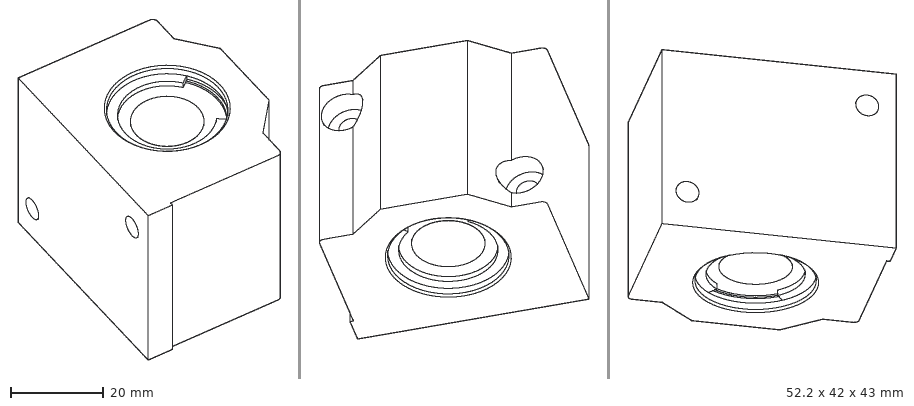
import cadquery as cq
import math

length = 43.0
axis_height = 22.0
total_height = 42.02
shoulder_height = 35.25
body_half_width = 25.7
locating_edge_width = 52.19
locating_edge_height = 6.3
crown_half_width = 9.8
crown_foot_half_width = 17.85
shoulder_fillet = 1.2

screw_spacing_x = 40.0
screw_spacing_z = 26.0
screw_hole_diameter = 5.1
screw_head_diameter = 10.0
screw_head_depth = 5.5

bearing_bore = 16.0
bearing_outside = 26.0
bearing_length = 36.0
bearing_rounding = 0.7
bore_rim_width = 0.65
bore_rim_depth = 0.4

ring_thickness = 1.35
ring_play = 0.1
ring_outside = 27.2
ring_inside = 21.6
ring_gap_half_angle = math.radians(38.6)

bore_chamfer = 0.5
entry_diameter = 26.4

mid_z = length / 2
bearing_bottom = mid_z - bearing_length / 2
bearing_top = mid_z + bearing_length / 2
ring_bottoms = (bearing_bottom - ring_play - ring_thickness, bearing_top + ring_play)
entry_depth = ring_bottoms[0] + ring_thickness


def cylinder(diameter, bottom, height):
    return cq.Workplane("XY", origin=(0, 0, bottom)).circle(diameter / 2).extrude(height)


def make_block():
    base = -axis_height
    shoulder = base + shoulder_height
    crown = base + total_height
    edge_top = base + locating_edge_height
    edge_x = locating_edge_width - body_half_width
    outline = [
        (-body_half_width, base),
        (edge_x, base),
        (edge_x, edge_top),
        (body_half_width, edge_top),
        (body_half_width, shoulder),
        (crown_foot_half_width, shoulder),
        (crown_half_width, crown),
        (-crown_half_width, crown),
        (-crown_foot_half_width, shoulder),
        (-body_half_width, shoulder),
    ]
    block = cq.Workplane("XY").polyline(outline).close().extrude(length)
    for x in (-body_half_width, body_half_width):
        corner = cq.selectors.NearestToPointSelector((x, shoulder, mid_z))
        block = block.edges(corner).fillet(shoulder_fillet)
    return block


def make_screw_hole(x, z):
    """Through hole along Y, with a counterbore for the screw head sunk below the shoulder."""
    hole_start = cq.Workplane("XZ", origin=(x, -axis_height, z))
    hole = hole_start.circle(screw_hole_diameter / 2).extrude(-total_height)
    head_seat = shoulder_height - screw_head_depth
    head_start = cq.Workplane("XZ", origin=(x, head_seat - axis_height, z))
    head = head_start.circle(screw_head_diameter / 2).extrude(head_seat - total_height)
    return hole.union(head)


def make_housing():
    housing = make_block()
    housing = housing.cut(cylinder(bearing_outside, 0, length))
    for entry_bottom in (0, length - entry_depth):
        housing = housing.cut(cylinder(entry_diameter, entry_bottom, entry_depth))
    rims = cq.selectors.RadiusNthSelector(-1)
    housing = housing.faces("<Z or >Z").edges("%CIRCLE").edges(rims).chamfer(bore_chamfer)
    for ring_bottom in ring_bottoms:
        housing = housing.cut(cylinder(ring_outside, ring_bottom, ring_thickness))
    for side in (-1, 1):
        x = side * screw_spacing_x / 2
        z = mid_z + side * screw_spacing_z / 2
        housing = housing.cut(make_screw_hole(x, z))
    return housing


def make_bearing():
    """Plain tube with rounded outer rims and a shallow crowned lead-in at each bore end."""
    bearing = cylinder(bearing_outside, bearing_bottom, bearing_length)
    bearing = bearing.faces("<Z or >Z").edges().fillet(bearing_rounding)
    bore_radius = bearing_bore / 2
    rim_radius = bore_radius + bore_rim_width
    crown_radius = (bore_rim_width**2 + bore_rim_depth**2) / (2 * bore_rim_depth)
    bore_half = (
        cq.Workplane("XZ")
        .moveTo(0, bearing_top)
        .lineTo(rim_radius, bearing_top)
        .radiusArc((bore_radius, bearing_top - bore_rim_depth), -crown_radius)
        .lineTo(bore_radius, mid_z)
        .lineTo(0, mid_z)
        .close()
        .revolve(360, (0, 0, 0), (0, 1, 0))
    )
    return bearing.cut(bore_half).cut(bore_half.mirror("XY", (0, 0, mid_z)))


def make_retaining_ring(bottom):
    """Flat ring with a wedge-shaped gap facing +Y."""
    ring = cylinder(ring_outside, bottom, ring_thickness)
    ring = ring.cut(cylinder(ring_inside, bottom, ring_thickness))
    gap_y = ring_outside
    gap_x = gap_y * math.tan(ring_gap_half_angle)
    wedge = cq.Workplane("XY", origin=(0, 0, bottom))
    wedge = wedge.polyline([(0, 0), (gap_x, gap_y), (-gap_x, gap_y)]).close()
    return ring.cut(wedge.extrude(ring_thickness))


housing = make_housing()
bearing = make_bearing()
retaining_rings = [make_retaining_ring(bottom) for bottom in ring_bottoms]

result = cq.Compound.makeCompound([
    housing.val(),
    bearing.val(),
    *[ring.val() for ring in retaining_rings],
])